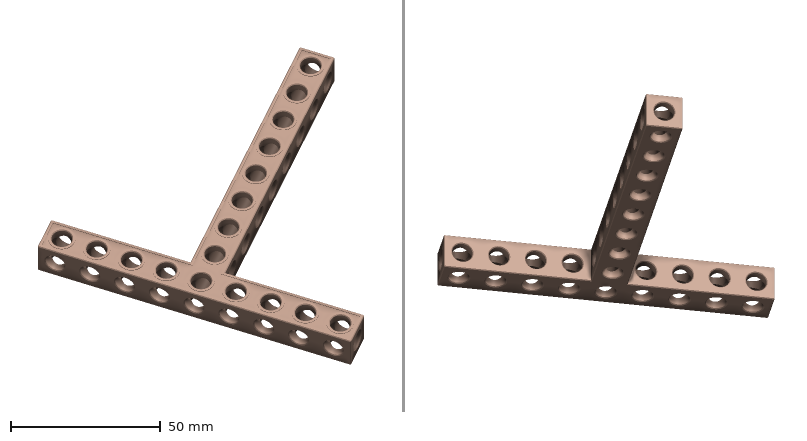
import cadquery as cq

overall_length = 112.5
holes_per_length = 9
pitch = overall_length / holes_per_length
half_pitch = pitch / 2

chamfer_size = 0.3

bore_diameter = 7.0

recess_depth = 0.2
rim_flat = 0.8
rim_width = chamfer_size + rim_flat
collar_diameter = 9.2

half_count = holes_per_length // 2
bar_positions = [i * pitch for i in range(-half_count, half_count + 1)]
stem_positions = [i * pitch for i in range(1, holes_per_length)]
top_hole_centers = [(x, 0) for x in bar_positions] + [(0, y) for y in stem_positions]


def tee_prism(inset, height):
    """Tee-shaped prism standing on Z = 0, its outline drawn in by the inset."""
    width = pitch - 2 * inset
    length = overall_length - 2 * inset
    bar = cq.Workplane("XY").box(length, width, height, centered=(True, True, False))
    stem = cq.Workplane("XY").box(width, length, height, centered=(True, False, False))
    return bar.union(stem.translate((0, inset - half_pitch, 0)))


def beam_body():
    """Solid tee with chamfered outer edges; the two inner corners stay sharp."""
    end_edges = "|Z and (<X or >X or >Y)"
    return tee_prism(0, pitch).edges(f"({end_edges}) or >Z or <Z").chamfer(chamfer_size)


def top_recess():
    """Cutter for the top recess, with the collars left out."""
    collars = (
        cq.Workplane("XY")
        .pushPoints(top_hole_centers)
        .circle(collar_diameter / 2)
        .extrude(recess_depth)
    )
    recess = tee_prism(rim_width, recess_depth).cut(collars)
    return recess.translate((0, 0, pitch - recess_depth))


def chamfered_bore(start, axis, length):
    """Round cutter from start along axis, widened by a chamfer at both mouths."""
    radius = bore_diameter / 2
    mouth_radius = radius + chamfer_size
    half_profile = [
        (0, 0),
        (mouth_radius, 0),
        (radius, chamfer_size),
        (radius, length - chamfer_size),
        (mouth_radius, length),
        (0, length),
    ]
    cutter = cq.Workplane("XZ").polyline(half_profile).close().revolve(360, (0, 0), (0, 1))
    placement = cq.Location(cq.Plane(origin=start, normal=axis))
    return cq.Workplane(cutter.val().moved(placement))


result = beam_body().cut(top_recess())

for x, y in top_hole_centers:
    result = result.cut(chamfered_bore((x, y, 0), (0, 0, 1), pitch))

for x in bar_positions:
    bore_length = overall_length if x == 0 else pitch
    result = result.cut(chamfered_bore((x, -half_pitch, half_pitch), (0, 1, 0), bore_length))

for y in [0] + stem_positions:
    bore_length = overall_length if y == 0 else pitch
    result = result.cut(chamfered_bore((-bore_length / 2, y, half_pitch), (1, 0, 0), bore_length))